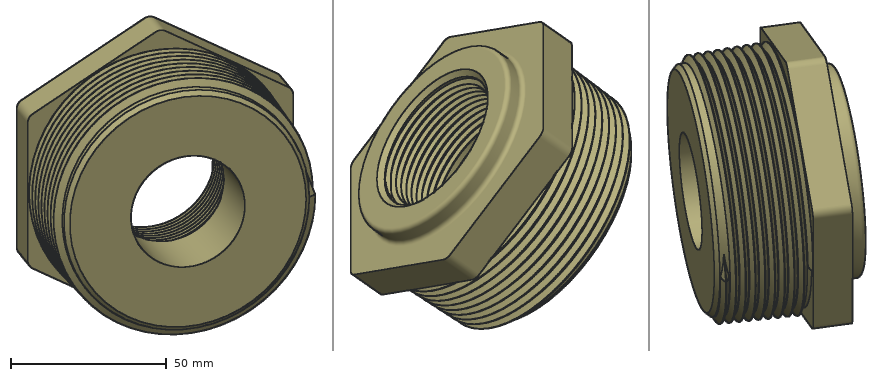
import cadquery as cq
import math

length = 50.8
hex_start = 6.5
hex_end = 19.4
hex_flats = 88.9
hex_corners = 101.6
sharp_corners = hex_flats / math.cos(math.pi / 6)
hex_corner_radius = (sharp_corners - hex_corners) / 2 / (1 / math.cos(math.pi / 6) - 1)
collar_radius = 69.8 / 2
collar_round = 1.5

taper = 1 / 32
taper_angle = math.degrees(math.atan(taper))

outer_turns = 9
outer_thread_start = 19.1
outer_thread_end = 47.7
outer_thread_length = outer_thread_end - outer_thread_start
outer_pitch = outer_thread_length / outer_turns
outer_crest_radius = hex_flats / 2
outer_tooth_height = 2.4
outer_root_radius = outer_crest_radius - outer_tooth_height
tip_chamfer = 1.5

inner_pitch = 2.2
inner_turns = 10
inner_thread_start = 3.0
inner_root_radius = 23.9
inner_tooth_height = 1.5
mouth_radius = 25.6
mouth_depth = 1.7
socket_depth = 26.6
bore_radius = 38.1 / 2

base_share = 0.98
crest_share = 0.08
tooth_overlap = 0.2

fade_angle = 25
fade_depth = 0.5
fade_tip_size = 0.2

axis_plane = cq.Plane(origin=(0, 0, 0), xDir=(0, 1, 0), normal=(1, 0, 0))


def revolve_about_x(outline):
    return outline.close().revolve(360, (0, 0, 0), (1, 0, 0))


def place_on_axis(solid, start):
    return solid.moved(cq.Location(axis_plane)).translate(cq.Vector(start, 0, 0))


def tooth_outline(plane, pitch, root_radius, height):
    """Tooth section; a negative height points the tooth at the axis."""
    base_radius = root_radius - math.copysign(tooth_overlap, height)
    crest_radius = root_radius + height
    half_base = base_share * pitch / 2
    half_crest = crest_share * pitch / 2
    return (
        cq.Workplane(plane)
        .polyline([
            (base_radius, -half_base),
            (crest_radius, -half_crest),
            (crest_radius, half_crest),
            (base_radius, half_base),
        ])
        .close()
    )


def thread_ridge(pitch, turns, start, root_radius, height):
    """Right-handed ridge that starts on the +Y side and narrows along +X."""
    helix = cq.Wire.makeHelix(pitch, pitch * turns, root_radius, angle=-taper_angle)
    section = tooth_outline("XZ", pitch, root_radius, height)
    ridge = section.sweep(cq.Workplane(helix), isFrenet=True)
    return place_on_axis(ridge.val(), start)


def thread_fade(pitch, start, root_radius, height, angle):
    """Wedge from a full tooth on the +Y side to a small tip sunk in the wall."""
    turn = math.radians(angle)
    tip_radius = root_radius - math.copysign(fade_depth, height)
    tip_plane = cq.Plane(
        origin=(tip_radius * math.cos(turn), tip_radius * math.sin(turn), pitch * angle / 360),
        xDir=(math.cos(turn), math.sin(turn), 0),
        normal=(math.sin(turn), -math.cos(turn), 0),
    )
    tooth = tooth_outline("XZ", pitch, root_radius, height).wires().val()
    tip = tooth_outline(tip_plane, fade_tip_size, 0, math.copysign(fade_tip_size, height)).wires().val()
    return place_on_axis(cq.Solid.makeLoft([tooth, tip], True), start)


def make_hexagon():
    return (
        cq.Workplane(axis_plane)
        .workplane(offset=hex_start)
        .transformed(rotate=(0, 0, 90))
        .polygon(6, sharp_corners)
        .extrude(hex_end - hex_start)
        .edges("|X")
        .fillet(hex_corner_radius)
    )


def make_collar():
    flare_start = hex_start - collar_round
    diagonal = collar_round * math.sqrt(0.5)
    return revolve_about_x(
        cq.Workplane("XY")
        .lineTo(0, collar_radius - collar_round)
        .threePointArc(
            (collar_round - diagonal, collar_radius - collar_round + diagonal),
            (collar_round, collar_radius),
        )
        .lineTo(flare_start, collar_radius)
        .threePointArc(
            (flare_start + diagonal, collar_radius + collar_round - diagonal),
            (hex_start, collar_radius + collar_round),
        )
        .lineTo(hex_end, collar_radius + collar_round)
        .lineTo(hex_end, 0)
    )


def make_spigot():
    tip_start = length - tip_chamfer
    tip_radius = outer_root_radius - taper * (tip_start - outer_thread_start)
    return revolve_about_x(
        cq.Workplane("XY")
        .moveTo(outer_thread_start, 0)
        .lineTo(outer_thread_start, outer_root_radius)
        .lineTo(tip_start, tip_radius)
        .lineTo(length, tip_radius - tip_chamfer)
        .lineTo(length, 0)
    )


def make_bore():
    floor_radius = inner_root_radius - taper * (socket_depth - mouth_depth)
    return revolve_about_x(
        cq.Workplane("XY")
        .lineTo(0, mouth_radius)
        .lineTo(mouth_depth, inner_root_radius)
        .lineTo(socket_depth, floor_radius)
        .lineTo(socket_depth, bore_radius)
        .lineTo(length, bore_radius)
        .lineTo(length, 0)
    )


outer_thread = thread_ridge(
    outer_pitch, outer_turns, outer_thread_start, outer_root_radius, outer_tooth_height
)
outer_fade = thread_fade(
    outer_pitch,
    outer_thread_end,
    outer_root_radius - taper * outer_thread_length,
    outer_tooth_height,
    fade_angle,
)

inner_start_radius = inner_root_radius - taper * (inner_thread_start - mouth_depth)
inner_thread = thread_ridge(
    inner_pitch, inner_turns, inner_thread_start, inner_start_radius, -inner_tooth_height
)
inner_fade = thread_fade(
    inner_pitch, inner_thread_start, inner_start_radius, -inner_tooth_height, -fade_angle
)

body = make_spigot().union(outer_thread).union(outer_fade)
body = body.union(make_hexagon()).union(make_collar())
result = body.cut(make_bore()).union(inner_thread).union(inner_fade)